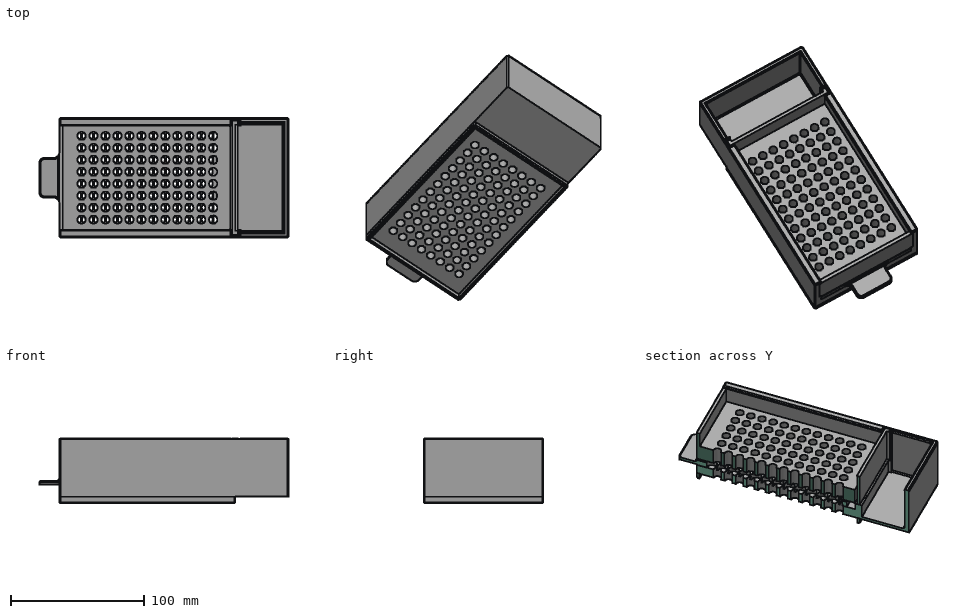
import cadquery as cq

box_length = 172.5
box_width = 90.0
box_height = 49.0
edge_chamfer = 1.0

frame_length = 132.5
frame_height = 5.0
frame_wall = 2.25

hole_columns = 12
hole_rows = 8
hole_pitch = 9.0
hole_diameter = 6.0
first_hole_x = (frame_length - (hole_columns - 1) * hole_pitch) / 2
shutter_hole_diameter = 8.0
shutter_shift = hole_pitch / 2

shutter_slot_floor = 14.0
tray_slot_floor = 20.0
tray_floor_top = 34.0
tray_top = 47.25
lip_bottom = 48.0

fit_gap = 0.5
groove_half_width = 41.0
groove_chamfer = 1.75
lip_overhang = 2.0
lip_tip_half_width = groove_half_width - lip_overhang
lip_mouth_half_width = lip_tip_half_width + box_height - lip_bottom
groove_half_bottom = groove_half_width - groove_chamfer

tray_length = 128.5
tray_front_wall = 2.75
tray_inner_half_width = 39.0
tray_half_width = groove_half_width - fit_gap
tray_top_chamfer = 1.25

shutter_thickness = 5.0
shutter_length = 116.0
shutter_half_width = groove_half_bottom - fit_gap
stop_stem_width = 20.0
stop_stem_length = 2.0
stop_head_width = 34.0
stop_head_length = 4.0
handle_length = 15.0
handle_width = 30.0
handle_thickness = 3.0
handle_corner_radius = 4.0
handle_edge_chamfer = 1.0
handle_root_radius = 4.0
root_step_height = 4.0
root_step_length = 1.25

divider_slot_start = 129.5
divider_slot_end = 135.5
divider_slot_half_width = 44.0
slot_mouth_chamfer = 1.0
divider_front = divider_slot_start + fit_gap
divider_back = divider_slot_end - fit_gap
divider_half_width = divider_slot_half_width - fit_gap
divider_plate_thickness = 2.5
divider_rail_inner = 40.0
divider_chamfer = 0.75

compartment_start = 134.25
compartment_end = 168.5
compartment_floor = 8.0
post_back = 136.5
compartment_chamfer = 1.0


def block(x_range, half_width, z_range):
    """Box centred on the XZ plane."""
    x0, x1 = x_range
    z0, z1 = z_range
    return (
        cq.Workplane("XY")
        .box(x1 - x0, 2 * half_width, z1 - z0, centered=(False, True, False))
        .translate((x0, 0, z0))
    )


def extrude_section(half_section, length):
    """Mirror a (y, z) half section across Y = 0 and extrude it along X from X = 0."""
    mirrored = [(-y, z) for y, z in reversed(half_section)]
    return cq.Workplane("YZ").polyline(half_section + mirrored).close().extrude(length)


def hole_grid(diameter, x_shift, z_range):
    """Vertical cylinders on the common grid."""
    z0, z1 = z_range
    centre_x = first_hole_x + x_shift + (hole_columns - 1) * hole_pitch / 2
    return (
        cq.Workplane("XY", origin=(centre_x, 0, z0))
        .rarray(hole_pitch, hole_pitch, hole_columns, hole_rows)
        .circle(diameter / 2)
        .extrude(z1 - z0)
    )


def flared_mouth(x_range, half_width, chamfer):
    """Rectangular funnel that widens by the chamfer on every side up to the housing top."""
    x0, x1 = x_range
    length = x1 - x0
    return (
        cq.Workplane("XY", origin=((x0 + x1) / 2, 0, box_height - chamfer))
        .rect(length, 2 * half_width)
        .workplane(offset=chamfer)
        .rect(length + 2 * chamfer, 2 * (half_width + chamfer))
        .loft(combine=True)
    )


def compartment_cavity():
    """Rear storage well with chamfered corners, floor and mouth."""
    well = (
        block((post_back, compartment_end), groove_half_width, (compartment_floor, box_height))
        .edges("|Z and >X")
        .chamfer(compartment_chamfer)
        .faces("<Z")
        .edges("not <X")
        .chamfer(compartment_chamfer)
    )
    mouth_start = post_back + compartment_chamfer
    mouth = flared_mouth((mouth_start, compartment_end), groove_half_width, compartment_chamfer)
    throat = block((compartment_start, post_back), groove_half_bottom, (compartment_floor, box_height))
    return well.union(mouth).union(throat)


def divider_slot():
    """Vertical slot for the divider, with a chamfered mouth."""
    slot_x = (divider_slot_start, divider_slot_end)
    slot = block(slot_x, divider_slot_half_width, (tray_slot_floor, box_height))
    mouth = flared_mouth(slot_x, divider_slot_half_width, slot_mouth_chamfer)
    return slot.union(mouth)


def make_housing():
    body = (
        block((0, box_length), box_width / 2, (frame_height, box_height))
        .edges("|Z or >Z")
        .chamfer(edge_chamfer)
    )
    groove = extrude_section(
        [
            (groove_half_bottom, tray_slot_floor),
            (groove_half_width, tray_slot_floor + groove_chamfer),
            (groove_half_width, lip_bottom - lip_overhang),
            (lip_tip_half_width, lip_bottom),
            (lip_mouth_half_width, box_height),
        ],
        divider_slot_start,
    )
    shutter_slot = block((0, tray_length), groove_half_bottom, (shutter_slot_floor, tray_slot_floor))
    floor_holes = hole_grid(hole_diameter, 0, (frame_height, shutter_slot_floor))
    return (
        body.cut(groove)
        .cut(shutter_slot)
        .cut(floor_holes)
        .cut(divider_slot())
        .cut(compartment_cavity())
    )


def make_frame():
    """Open rectangular frame that carries the housing."""
    outer = (
        block((0, frame_length), box_width / 2, (0, frame_height))
        .edges("|Z or <Z")
        .chamfer(edge_chamfer)
    )
    opening_x = (frame_wall, frame_length - frame_wall)
    return outer.cut(block(opening_x, box_width / 2 - frame_wall, (0, frame_height)))


def make_tray():
    """Perforated tray that slides into the groove from the front."""
    body = extrude_section(
        [
            (groove_half_bottom - fit_gap, tray_slot_floor),
            (tray_half_width, tray_slot_floor + groove_chamfer),
            (tray_half_width, tray_top - tray_top_chamfer),
            (tray_half_width - tray_top_chamfer, tray_top),
        ],
        tray_length,
    )
    well = block((tray_front_wall, tray_length), tray_inner_half_width, (tray_floor_top, tray_top))
    holes = hole_grid(hole_diameter, 0, (tray_slot_floor, tray_floor_top))
    return body.cut(well).cut(holes)


def handle_outline(height):
    """Prism with rounded front corners and concave flares at its root, in front of X = 0."""
    side = handle_width / 2
    root = side + handle_root_radius
    front = -handle_length
    return (
        cq.Workplane("XY", origin=(0, 0, shutter_slot_floor))
        .moveTo(0, -root)
        .radiusArc((-handle_root_radius, -side), -handle_root_radius)
        .lineTo(front + handle_corner_radius, -side)
        .radiusArc((front, -side + handle_corner_radius), handle_corner_radius)
        .lineTo(front, side - handle_corner_radius)
        .radiusArc((front + handle_corner_radius, side), handle_corner_radius)
        .lineTo(-handle_root_radius, side)
        .radiusArc((0, root), -handle_root_radius)
        .close()
        .extrude(height)
    )


def make_handle():
    """Pull tab with a bevelled step on top where it meets the shutter."""
    tab = (
        handle_outline(handle_thickness)
        .faces(">Z")
        .edges("not >X")
        .chamfer(handle_edge_chamfer)
    )
    step_top = shutter_slot_floor + root_step_height
    step_region = block((-root_step_length, 0), box_width / 2, (shutter_slot_floor, step_top))
    step = (
        handle_outline(root_step_height)
        .intersect(step_region)
        .faces(">Z")
        .edges("not >X")
        .chamfer(handle_edge_chamfer)
    )
    return tab.union(step)


def make_shutter():
    z_range = (shutter_slot_floor, shutter_slot_floor + shutter_thickness)
    stem_end = shutter_length + stop_stem_length
    plate = block((0, shutter_length), shutter_half_width, z_range)
    stem = block((shutter_length, stem_end), stop_stem_width / 2, z_range)
    head = block((stem_end, stem_end + stop_head_length), stop_head_width / 2, z_range)
    holes = hole_grid(shutter_hole_diameter, -shutter_shift, z_range)
    return plate.union(stem).union(head).cut(holes).union(make_handle())


def make_divider():
    """Thin gate with a thicker rail along each side."""
    z_range = (tray_slot_floor, box_height)
    body = (
        block((divider_front, divider_back), divider_half_width, z_range)
        .faces(">Z")
        .edges("not <X")
        .chamfer(divider_chamfer)
    )
    relief = block((divider_front + divider_plate_thickness, divider_back), divider_rail_inner, z_range)
    return body.cut(relief)


housing = make_housing()
frame = make_frame()
tray = make_tray()
shutter = make_shutter()
divider = make_divider()

result = cq.Compound.makeCompound(
    [housing.val(), frame.val(), tray.val(), shutter.val(), divider.val()]
)